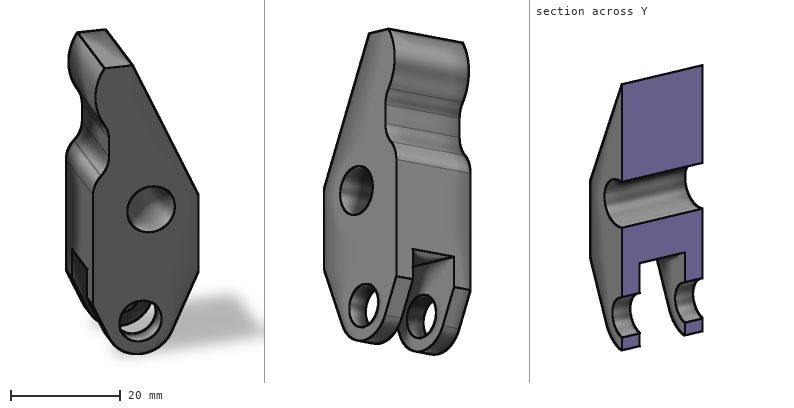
import cadquery as cq
import math


width = 18.0
height = 57.0
front_y = -9.0
depth = 20.0
back_y = front_y + depth

end_radius = 6.5
pivot_diameter = 8.0
front_taper_z = 4.0
back_taper_z = 8.55

cross_hole_diameter = 9.0
cross_hole_y = 2.0
cross_hole_z = 21.8

top_z = height - end_radius
back_slope_z = 23.55
top_back_y = -1.5

nose_radius = 10.0
nose_tip_y = -8.55
nose_z = 44.9

recess_y = -6.0
blend_radius = 5.0
shoulder_z = 25.75
shoulder_angle = math.radians(45)

slot_width = 10.0
slot_top_z = 9.65


def on_circle(center, radius, angle):
    """Point (y, z) on a circle, with the angle measured from +Y towards +Z."""
    return (center[0] + radius * math.cos(angle), center[1] + radius * math.sin(angle))


def end_tangent_angle(y, z, side):
    """Angle on the round end where the line from (y, z) touches it; side is +1 back, -1 front."""
    return math.atan2(z, y) - side * math.acos(end_radius / math.hypot(y, z))


def make_body():
    back_tangent = on_circle((0, 0), end_radius, end_tangent_angle(back_y, back_taper_z, 1))
    front_tangent = on_circle((0, 0), end_radius, end_tangent_angle(front_y, front_taper_z, -1))

    shoulder_center = (front_y + blend_radius, shoulder_z)
    shoulder_end = on_circle(shoulder_center, blend_radius, math.pi - shoulder_angle)
    shoulder_mid = on_circle(shoulder_center, blend_radius, math.pi - shoulder_angle / 2)
    lower_center_y = recess_y - blend_radius
    diagonal_end_y = lower_center_y + blend_radius * math.cos(shoulder_angle)
    diagonal_end_z = shoulder_end[1] + (diagonal_end_y - shoulder_end[0]) / math.tan(shoulder_angle)
    lower_center = (lower_center_y, diagonal_end_z + blend_radius * math.sin(shoulder_angle))
    lower_mid = on_circle(lower_center, blend_radius, -shoulder_angle / 2)

    nose_center = (nose_tip_y + nose_radius, nose_z)
    blend_angle = math.acos((nose_center[0] - lower_center_y) / (nose_radius + blend_radius))
    upper_center = (lower_center_y, nose_z - (nose_radius + blend_radius) * math.sin(blend_angle))
    upper_mid = on_circle(upper_center, blend_radius, blend_angle / 2)
    nose_start = on_circle(upper_center, blend_radius, blend_angle)
    nose_end_angle = math.pi - math.asin((top_z - nose_z) / nose_radius)
    nose_end = on_circle(nose_center, nose_radius, nose_end_angle)

    return (
        cq.Workplane("YZ")
        .moveTo(*back_tangent)
        .threePointArc((0, -end_radius), front_tangent)
        .lineTo(front_y, front_taper_z)
        .lineTo(front_y, shoulder_z)
        .threePointArc(shoulder_mid, shoulder_end)
        .lineTo(diagonal_end_y, diagonal_end_z)
        .threePointArc(lower_mid, (recess_y, lower_center[1]))
        .lineTo(recess_y, upper_center[1])
        .threePointArc(upper_mid, nose_start)
        .threePointArc((nose_tip_y, nose_z), nose_end)
        .lineTo(top_back_y, top_z)
        .lineTo(back_y, back_slope_z)
        .lineTo(back_y, back_taper_z)
        .close()
        .extrude(width / 2, both=True)
    )


def make_hole(y, z, diameter):
    return cq.Workplane("YZ").center(y, z).circle(diameter / 2).extrude(width / 2, both=True)


def make_slot():
    slot_height = slot_top_z + end_radius
    return (
        cq.Workplane("XY")
        .box(slot_width, depth, slot_height)
        .translate((0, front_y + depth / 2, slot_top_z - slot_height / 2))
    )


result = (
    make_body()
    .cut(make_hole(0, 0, pivot_diameter))
    .cut(make_hole(cross_hole_y, cross_hole_z, cross_hole_diameter))
    .cut(make_slot())
)